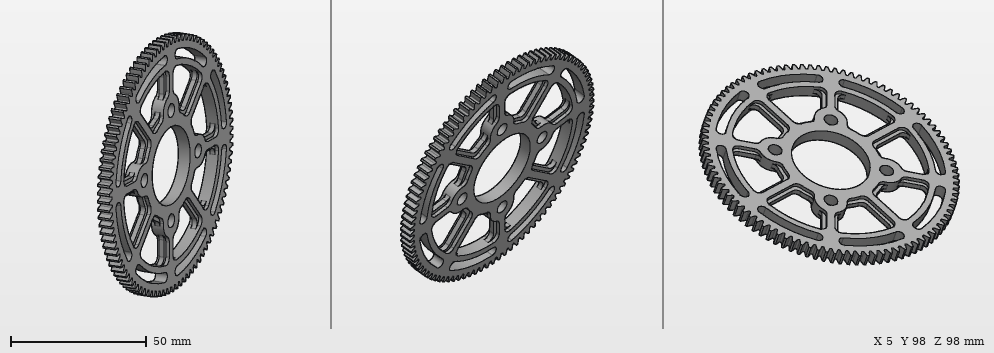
import cadquery as cq
import math


outer_size = 98.0
thickness = 5.0

tooth_count = 96
pressure_angle = math.radians(20)
addendum_factor = 1.0
dedendum_factor = 1.25
root_round_factor = 0.25

bore_diameter = 30.0
boss_count = 4
boss_circle_radius = 21.3
boss_radius = 6.3
boss_hole_diameter = 5.2

spoke_count = 8
web_thickness = 2.1
web_width = 6.0
flange_width = 3.0
rim_inner_radius = 37.7
web_hub_radius = 21.3
flange_hub_radius = 19.8
corner_radius = 2.5

slot_radius = 42.1
slot_width = 3.8
slot_end_angle = 6.8

sector_angle = 360 / spoke_count


def involute(angle):
    return math.tan(angle) - angle


def tooth_half_angle(relative_radius):
    """Half the angle of a tooth at a radius given as a multiple of the pitch radius."""
    local_pressure_angle = math.acos(math.cos(pressure_angle) / relative_radius)
    return math.pi / (2 * tooth_count) + involute(pressure_angle) - involute(local_pressure_angle)


def polar(radius, angle):
    return (radius * math.cos(angle), radius * math.sin(angle))


def disc(radius, height):
    return cq.Workplane("YZ").circle(radius).extrude(height / 2, both=True)


def boss_circle_discs(radius, height):
    return (
        cq.Workplane("YZ")
        .polarArray(boss_circle_radius, 0, 360, boss_count)
        .circle(radius)
        .extrude(height / 2, both=True)
    )


def gear_blank():
    pitch_angle = 2 * math.pi / tooth_count
    relative_tip = 1 + 2 * addendum_factor / tooth_count
    tip_corner_angle = pitch_angle / 2 - tooth_half_angle(relative_tip)
    tip_radius = outer_size / 2 / math.cos(tip_corner_angle)

    pitch_radius = tip_radius / relative_tip
    module = 2 * pitch_radius / tooth_count
    root_radius = pitch_radius - dedendum_factor * module
    flank_start_radius = root_radius + root_round_factor * module
    flank_middle_radius = (flank_start_radius + tip_radius) / 2

    def flank_point(radius, tooth_angle, side):
        return polar(radius, tooth_angle + side * tooth_half_angle(radius / pitch_radius))

    outline = cq.Workplane("YZ").moveTo(*flank_point(flank_start_radius, pitch_angle / 2, -1))
    for tooth in range(tooth_count):
        angle = (tooth + 0.5) * pitch_angle
        next_angle = angle + pitch_angle
        outline = (
            outline
            .threePointArc(flank_point(flank_middle_radius, angle, -1), flank_point(tip_radius, angle, -1))
            .threePointArc(polar(tip_radius, angle), flank_point(tip_radius, angle, 1))
            .threePointArc(flank_point(flank_middle_radius, angle, 1), flank_point(flank_start_radius, angle, 1))
            .threePointArc(
                polar(root_radius, angle + pitch_angle / 2),
                flank_point(flank_start_radius, next_angle, -1),
            )
        )
    return outline.close().extrude(thickness / 2, both=True)


def windows(hub_radius, spoke_width, height):
    """Openings left between hub, bosses, spokes and rim, with rounded corners."""
    openings = disc(rim_inner_radius, height).cut(disc(hub_radius, height))
    openings = openings.cut(boss_circle_discs(boss_radius, height))
    for pair in range(spoke_count // 2):
        spoke_pair = cq.Workplane("YZ").rect(outer_size, spoke_width).extrude(height / 2, both=True)
        openings = openings.cut(spoke_pair.rotate((0, 0, 0), (1, 0, 0), pair * sector_angle))
    return openings.edges("|X").fillet(corner_radius)


def rim_slot():
    start = math.radians(slot_end_angle)
    end = math.radians(sector_angle - slot_end_angle)
    middle = (start + end) / 2
    inner = slot_radius - slot_width / 2
    outer = slot_radius + slot_width / 2
    end_rounding = slot_width / 2 / slot_radius
    return (
        cq.Workplane("YZ")
        .moveTo(*polar(inner, start))
        .threePointArc(polar(inner, middle), polar(inner, end))
        .threePointArc(polar(slot_radius, end + end_rounding), polar(outer, end))
        .threePointArc(polar(outer, middle), polar(outer, start))
        .threePointArc(polar(slot_radius, start - end_rounding), polar(inner, start))
        .close()
        .extrude(thickness / 2, both=True)
    )


result = gear_blank()

result = result.cut(disc(bore_diameter / 2, thickness))
result = result.cut(boss_circle_discs(boss_hole_diameter / 2, thickness))

result = result.cut(windows(web_hub_radius, web_width, thickness))
recesses = windows(flange_hub_radius, flange_width, thickness).cut(disc(outer_size / 2, web_thickness))
result = result.cut(recesses)

slot = rim_slot()
for sector in range(spoke_count):
    result = result.cut(slot.rotate((0, 0, 0), (1, 0, 0), sector * sector_angle))